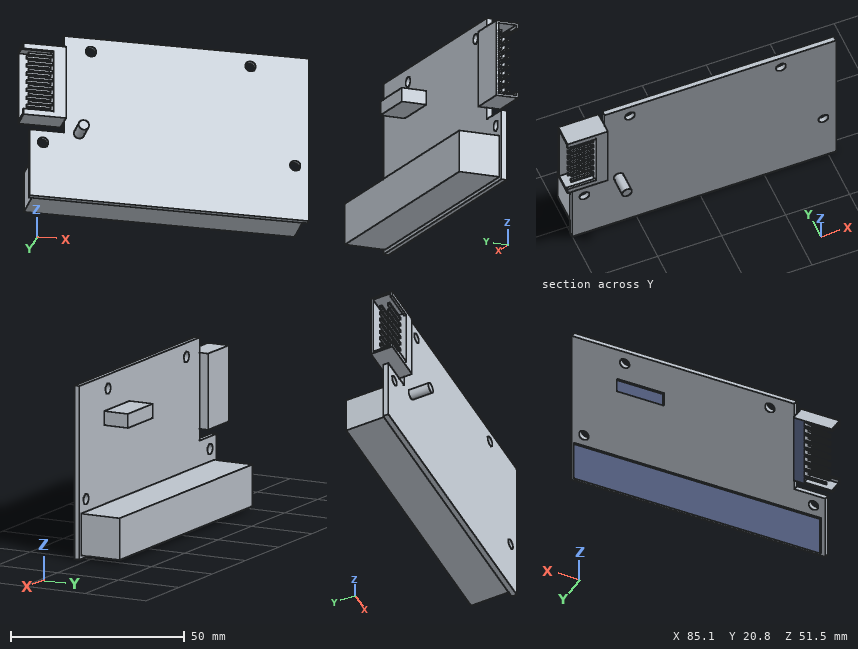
import cadquery as cq


board_left = 2.5
board_right = 85.1
board_height = 51.5
board_thickness = 1.7
notch_right = 12.6
notch_bottom = 20.9

hole_diameter = 3.1
lower_hole_z = 17.2
lower_hole_xs = (6.4, 81.1)
upper_hole_z = 47.3
upper_hole_xs = (20.6, 67.8)

large_block_left = 3.9
large_block_length = 80.25
large_block_depth = 12.7
large_block_bottom = 1.1
large_block_height = 12.4
small_block_left = 55.0
small_block_length = 15.15
small_block_depth = 7.75
small_block_bottom = 36.9
small_block_height = 4.2

indicator_diameter = 3.1
indicator_length = 6.4
indicator_x = 17.0
indicator_z = notch_bottom

housing_length = notch_right
housing_front = -2.55
housing_depth = 7.0
housing_bottom = 24.3
housing_height = 22.6
cavity_length = 9.0
wall_thickness = 0.72
slot_height = 19.1

contact_width = 0.7
contact_pitch = 2.55
contact_tip = 1.95
contact_rows = 8
contact_columns = 2

housing_center_y = housing_front + housing_depth / 2
housing_center_z = housing_bottom + housing_height / 2


def box(x, y, z, length, depth, height):
    """Box with its lowest corner at (x, y, z)."""
    return cq.Workplane("XY").box(length, depth, height, centered=False).translate((x, y, z))


def make_board():
    """Notched board with four mounting holes and two blocks on its back face."""
    outline = [
        (board_left, 0),
        (board_right, 0),
        (board_right, board_height),
        (notch_right, board_height),
        (notch_right, notch_bottom),
        (board_left, notch_bottom),
    ]
    hole_centers = [(x, lower_hole_z) for x in lower_hole_xs]
    hole_centers += [(x, upper_hole_z) for x in upper_hole_xs]
    plate = cq.Workplane("XZ").polyline(outline).close().extrude(-board_thickness)
    holes = (
        cq.Workplane("XZ")
        .pushPoints(hole_centers)
        .circle(hole_diameter / 2)
        .extrude(-board_thickness)
    )
    large_block = box(
        large_block_left, board_thickness, large_block_bottom,
        large_block_length, large_block_depth, large_block_height,
    )
    small_block = box(
        small_block_left, board_thickness, small_block_bottom,
        small_block_length, small_block_depth, small_block_height,
    )
    return plate.cut(holes).union(large_block).union(small_block)


def make_indicator():
    """Round pin standing on the front face of the board."""
    return (
        cq.Workplane("XZ")
        .center(indicator_x, indicator_z)
        .circle(indicator_diameter / 2)
        .extrude(indicator_length)
    )


def make_connector():
    """Housing open at the left, slotted through its front wall, with a grid of contacts."""
    housing = box(0, housing_front, housing_bottom, housing_length, housing_depth, housing_height)
    cavity = box(
        0, housing_front + wall_thickness, housing_bottom + wall_thickness,
        cavity_length, housing_depth - 2 * wall_thickness, housing_height - 2 * wall_thickness,
    )
    slot = box(
        0, housing_front, housing_center_z - slot_height / 2,
        cavity_length, wall_thickness, slot_height,
    )
    contacts = (
        cq.Workplane("YZ", origin=(contact_tip, housing_center_y, housing_center_z))
        .rarray(contact_pitch, contact_pitch, contact_columns, contact_rows)
        .rect(contact_width, contact_width)
        .extrude(cavity_length - contact_tip)
    )
    return housing.cut(cavity).cut(slot).union(contacts)


board = make_board()
indicator = make_indicator()
connector = make_connector()

result = cq.Compound.makeCompound([board.val(), indicator.val(), connector.val()])